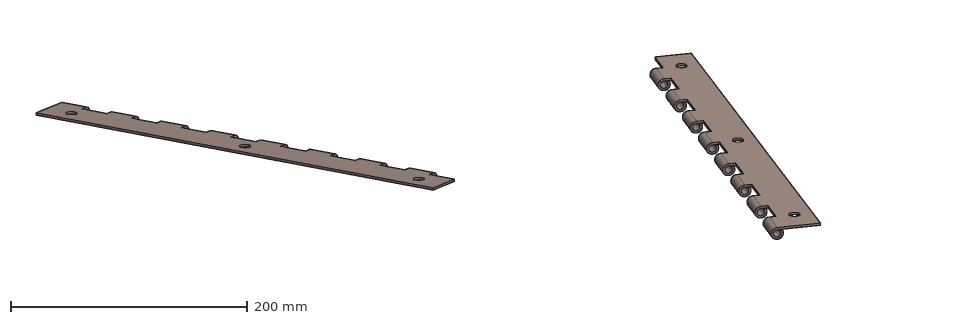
import cadquery as cq
import math

length = 406.5
width = 43.5
thickness = 2.15
pin_hole_diameter = 6.5
knuckle_count = 8
curl_end_angle = 36.0
notch_depth = 11.5
screw_hole_diameter = 9.5
screw_hole_edge_distance = 16.0

pin_hole_radius = pin_hole_diameter / 2
knuckle_radius = pin_hole_radius + thickness
knuckle_pitch = length / knuckle_count
knuckle_length = knuckle_pitch / 2
front_edge_y = knuckle_radius - width
notch_floor_y = knuckle_radius - notch_depth
screw_hole_y = front_edge_y + screw_hole_edge_distance
screw_hole_xs = (knuckle_length, length / 2, length - knuckle_length)


def plate(x_start, x_length, y_start, y_end):
    """Flat sheet whose top face is tangent to the top of the knuckles."""
    return cq.Workplane("XY").box(
        x_length, y_end - y_start, thickness, centered=False
    ).translate((x_start, y_start, knuckle_radius - thickness))


def curl_point(radius, angle):
    """Point (Y, Z) around the pin axis; the angle rises from -Y towards +Z."""
    return (-radius * math.cos(math.radians(angle)), radius * math.sin(math.radians(angle)))


def knuckle(x_start):
    """Strip rolled around the pin axis, ending just below the leaf."""
    middle_angle = (90 + 360 + curl_end_angle) / 2
    curl = (
        cq.Workplane("YZ", origin=(x_start, 0, 0))
        .moveTo(0, knuckle_radius)
        .threePointArc(
            curl_point(knuckle_radius, middle_angle),
            curl_point(knuckle_radius, curl_end_angle),
        )
        .lineTo(*curl_point(pin_hole_radius, curl_end_angle))
        .threePointArc(
            curl_point(pin_hole_radius, middle_angle),
            (0, pin_hole_radius),
        )
        .close()
        .extrude(knuckle_length)
    )
    return curl.union(plate(x_start, knuckle_length, notch_floor_y, 0))


leaf = plate(0, length, front_edge_y, notch_floor_y)
for index in range(knuckle_count):
    leaf = leaf.union(knuckle(index * knuckle_pitch))

screw_holes = (
    cq.Workplane("XY")
    .pushPoints([(x, screw_hole_y) for x in screw_hole_xs])
    .circle(screw_hole_diameter / 2)
    .extrude(2 * knuckle_radius)
)

result = leaf.cut(screw_holes)